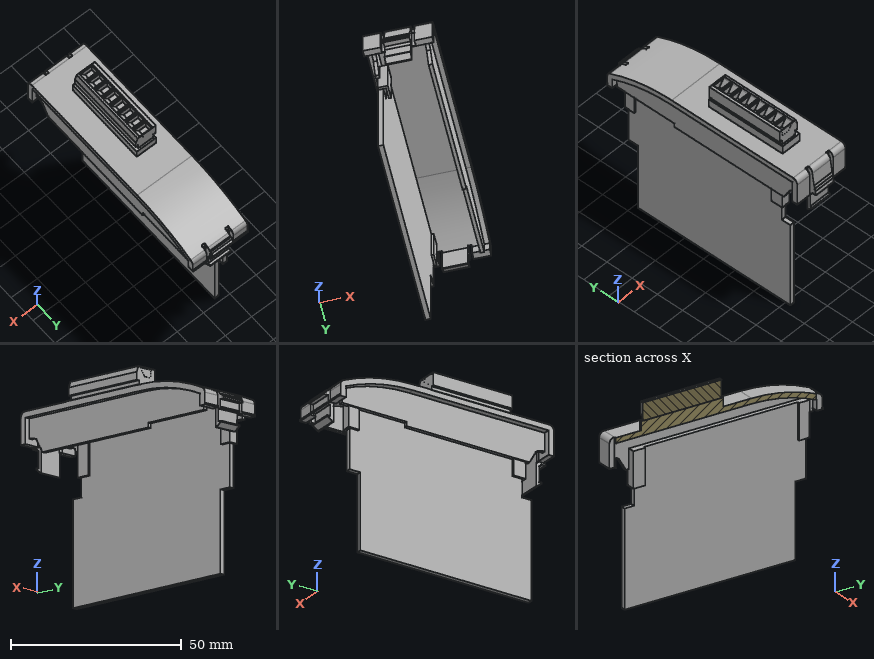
import cadquery as cq
import math


cover_width = 21.0
cover_half_length = 37.7
wall = 1.95
front_wall_bottom = -9.9
rear_wall_bottom = -10.65
corner_radius = 1.7
inner_end = cover_half_length - wall
rear_lip_reach = 0.2
rear_lip_height = 0.5

bend_start = 12.2
bend_radius = 59.15
inner_bend_radius = bend_radius - wall

clip_width = 7.8
slot_width = 1.2
front_slot_depth = 1.7
rear_slot_depth = 2.4

leg_thickness = 1.2
clip_reach = 39.1
leg_outer = inner_end + leg_thickness
front_leg_fillet = 0.7
front_barb_top = -15.8
front_leg_bottom = -17.5
rear_barb_top = -14.4
rear_leg_bottom = -16.0
barb_flat = 0.3

front_grip_start = (-38.4, -6.4)
front_grip_rolls = [
    ((-38.65, -7.0), (-38.6, -7.7)),
    ((-38.9, -8.05), (-38.8, -8.6)),
    ((-39.0, -9.3), (-clip_reach, front_wall_bottom)),
]
rear_grip_top = -6.25
rear_grip_bottom = -7.8
rear_grip_start = (38.0, rear_grip_top)
rear_grip_rolls = [
    ((38.3, -6.5), (38.4, -7.0)),
    ((38.9, -7.05), (clip_reach, -7.4)),
]

panel_thickness = 1.2
left_panel_x = -8.4
right_panel_x = 7.7
panel_bottom = -13.0
panel_rear_bottom = -11.6
panel_step_y = 12.9

cutaway_start = (-30.4, panel_bottom)
cutaway_slope_end = (-32.85, -8.85)
cutaway_arc_middle = (-33.95, -8.2)
cutaway_top = -8.05

board_thickness = 1.65
board_x = left_panel_x + panel_thickness
board_top = -6.25
board_bottom = -57.3
board_rear_y = 32.2
board_rear_notch_y = 28.5
board_rear_notch_z = -31.85
board_front_y = -32.0
board_front_notch_y = -28.6
board_front_notch_z = -24.4
holder_thickness = 3.05
holder_bottom = -18.5
holder_overlap = 0.8
rear_holder_length = 3.7
front_holder_length = 4.3

socket_left_x = -5.1
socket_right_x = 2.3
socket_height = 3.0
socket_length = 29.25
terminal_y = -12.35
plug_length = 27.9
plug_left_x = -5.55
plug_right_x = 2.0
plug_top = 8.85
plug_shoulder = 4.5
plug_neck_left_x = -4.6
plug_neck_right_x = 1.1
plug_chamfer_width = 0.7
plug_chamfer_height = 1.9

pocket_count = 8
pocket_pitch = 3.5
pocket_left_x = -4.15
pocket_floor_right_x = -1.6
pocket_right_x = 0.2
pocket_length = 2.6
pocket_depth = 2.65
pocket_rim = 0.3


def arc_height(y, radius):
    """Height of a bend arc of the given radius; every such arc has the same centre."""
    return math.sqrt(radius**2 - (y - bend_start) ** 2) - bend_radius


def extrude_x(outline, x_start, thickness):
    """Extrude a closed outline drawn in (Y, Z) along +X from x_start."""
    return outline.close().extrude(thickness).translate((x_start, 0, 0))


def block(x_range, y_range, z_range):
    """Box between two limits on each axis."""
    low, high = zip(x_range, y_range, z_range)
    size = [b - a for a, b in zip(low, high)]
    return cq.Workplane("XY").box(*size, centered=False).translate(low)


def bend_middle(y_end, radius):
    """Point halfway in Y along a bend arc."""
    y = (bend_start + y_end) / 2
    return (y, arc_height(y, radius))


def make_cover():
    """Bent top and end walls, with rounded outer corners."""
    lip_end = cover_half_length + rear_lip_reach
    outline = (
        cq.Workplane("YZ")
        .moveTo(-cover_half_length, front_wall_bottom)
        .lineTo(-cover_half_length, 0)
        .lineTo(bend_start, 0)
        .threePointArc(
            bend_middle(cover_half_length, bend_radius),
            (cover_half_length, arc_height(cover_half_length, bend_radius)),
        )
        .lineTo(cover_half_length, rear_wall_bottom + rear_lip_height)
        .lineTo(lip_end, rear_wall_bottom + rear_lip_height)
        .lineTo(lip_end, rear_wall_bottom)
        .lineTo(inner_end, rear_wall_bottom)
        .lineTo(inner_end, arc_height(inner_end, inner_bend_radius))
        .threePointArc(bend_middle(inner_end, inner_bend_radius), (bend_start, -wall))
        .lineTo(-inner_end, -wall)
        .lineTo(-inner_end, front_wall_bottom)
    )
    cover = extrude_x(outline, -cover_width / 2, cover_width)
    front_corner = cq.selectors.NearestToPointSelector((0, -cover_half_length, 0))
    rear_corner = cq.selectors.NearestToPointSelector(
        (0, cover_half_length, arc_height(cover_half_length, bend_radius))
    )
    return cover.edges(front_corner).fillet(corner_radius).edges(rear_corner).fillet(corner_radius)


def make_slot(side, y_range):
    """Cutter for the slot on one side (-1 or +1) of a clip."""
    x_limits = sorted((side * clip_width / 2, side * (clip_width / 2 + slot_width)))
    return block(x_limits, y_range, (rear_wall_bottom, 0))


def make_front_clip():
    """Finger grip with three rolls, and a barbed leg below it, on the front wall."""
    face = -cover_half_length
    outline = (
        cq.Workplane("YZ")
        .moveTo(-inner_end, -corner_radius)
        .lineTo(face, -corner_radius)
        .lineTo(*front_grip_start)
    )
    for middle, end in front_grip_rolls:
        outline = outline.threePointArc(middle, end)
    outline = (
        outline.lineTo(-leg_outer - front_leg_fillet, front_wall_bottom)
        .radiusArc((-leg_outer, front_wall_bottom - front_leg_fillet), -front_leg_fillet)
        .lineTo(-leg_outer, front_barb_top)
        .lineTo(face, front_barb_top)
        .lineTo(face, front_barb_top - barb_flat)
        .lineTo(-inner_end - barb_flat, front_leg_bottom)
        .lineTo(-inner_end, front_leg_bottom)
    )
    return extrude_x(outline, -clip_width / 2, clip_width)


def make_rear_clip():
    """Stepped finger grip and a barbed leg on the rear wall."""
    barb_tip = cover_half_length + rear_lip_reach
    grip = (
        cq.Workplane("YZ")
        .moveTo(inner_end, rear_grip_bottom)
        .lineTo(inner_end, rear_grip_top)
        .lineTo(*rear_grip_start)
    )
    for middle, end in rear_grip_rolls:
        grip = grip.threePointArc(middle, end)
    grip = grip.lineTo(clip_reach, rear_grip_bottom)
    leg = (
        cq.Workplane("YZ")
        .moveTo(inner_end, rear_wall_bottom)
        .lineTo(leg_outer, rear_wall_bottom)
        .lineTo(leg_outer, rear_barb_top)
        .lineTo(barb_tip, rear_barb_top)
        .lineTo(barb_tip, rear_barb_top - barb_flat)
        .lineTo(inner_end + barb_flat, rear_leg_bottom)
        .lineTo(inner_end, rear_leg_bottom)
    )
    grip_solid = extrude_x(grip, -clip_width / 2, clip_width)
    leg_solid = extrude_x(leg, -clip_width / 2, clip_width)
    return grip_solid, leg_solid


def make_panel(x_start):
    """Side panel that fills the cover profile and hangs below it."""
    outline = (
        cq.Workplane("YZ")
        .moveTo(-inner_end, -wall)
        .lineTo(bend_start, -wall)
        .threePointArc(
            bend_middle(inner_end, inner_bend_radius),
            (inner_end, arc_height(inner_end, inner_bend_radius)),
        )
        .lineTo(inner_end, panel_rear_bottom)
        .lineTo(panel_step_y, panel_rear_bottom)
        .lineTo(panel_step_y, panel_bottom)
        .lineTo(*cutaway_start)
        .lineTo(*cutaway_slope_end)
        .threePointArc(cutaway_arc_middle, (-inner_end, cutaway_top))
    )
    return extrude_x(outline, x_start, panel_thickness)


def make_board():
    """Circuit board with a notch at each end."""
    outline = cq.Workplane("YZ").polyline(
        [
            (board_rear_y, board_top),
            (board_rear_y, board_rear_notch_z),
            (board_rear_notch_y, board_rear_notch_z),
            (board_rear_notch_y, board_bottom),
            (board_front_y, board_bottom),
            (board_front_y, board_front_notch_z),
            (board_front_notch_y, board_front_notch_z),
            (board_front_notch_y, board_top),
        ]
    )
    return extrude_x(outline, board_x, board_thickness)


def make_holders():
    """Blocks that wrap the front and rear edges of the board."""
    middle_x = board_x + board_thickness / 2
    x_range = (middle_x - holder_thickness / 2, middle_x + holder_thickness / 2)
    z_range = (holder_bottom, board_top)
    rear_end = board_rear_y + holder_overlap
    front_end = board_front_notch_y - holder_overlap
    rear = block(x_range, (rear_end - rear_holder_length, rear_end), z_range)
    front = block(x_range, (front_end, front_end + front_holder_length), z_range)
    return rear, front


def make_socket():
    """Terminal socket standing on the cover."""
    half_length = socket_length / 2
    return block(
        (socket_left_x, socket_right_x),
        (terminal_y - half_length, terminal_y + half_length),
        (-wall, socket_height),
    )


def make_housing():
    """Cover, clips, panels, board, holders and socket joined into one solid."""
    housing = make_cover()
    front_slot = (-cover_half_length, -cover_half_length + front_slot_depth)
    rear_slot = (cover_half_length - rear_slot_depth, cover_half_length + rear_lip_reach)
    for side in (-1, 1):
        housing = housing.cut(make_slot(side, front_slot))
        housing = housing.cut(make_slot(side, rear_slot))
    housing = housing.union(make_front_clip())
    for piece in make_rear_clip():
        housing = housing.union(piece)
    for x_start in (left_panel_x, right_panel_x):
        housing = housing.union(make_panel(x_start))
    housing = housing.union(make_board())
    for holder in make_holders():
        housing = housing.union(holder)
    return housing.union(make_socket())


def make_pocket(y_middle):
    """Cutter for a wire pocket: flat floor, sloping right side, chamfered rim."""
    rim_bottom = plug_top - pocket_rim
    floor = plug_top - pocket_depth
    well = (
        cq.Workplane("XZ", origin=(0, y_middle + pocket_length / 2, 0))
        .polyline(
            [
                (pocket_left_x, floor),
                (pocket_floor_right_x, floor),
                (pocket_right_x, rim_bottom),
                (pocket_left_x, rim_bottom),
            ]
        )
        .close()
        .extrude(pocket_length)
    )
    rim = (
        cq.Workplane("XY", origin=((pocket_left_x + pocket_right_x) / 2, y_middle, rim_bottom))
        .rect(pocket_right_x - pocket_left_x, pocket_length)
        .workplane(offset=pocket_rim)
        .rect(pocket_right_x - pocket_left_x + 2 * pocket_rim, pocket_length + 2 * pocket_rim)
        .loft(ruled=True)
    )
    return well.union(rim)


def make_plug():
    """Terminal block with a narrower neck standing on the socket."""
    plug = (
        cq.Workplane("XZ", origin=(0, terminal_y, 0))
        .polyline(
            [
                (plug_neck_left_x, socket_height),
                (plug_neck_right_x, socket_height),
                (plug_neck_right_x, plug_shoulder),
                (plug_right_x, plug_shoulder),
                (plug_right_x, plug_top - plug_chamfer_height),
                (plug_right_x - plug_chamfer_width, plug_top),
                (plug_left_x, plug_top),
                (plug_left_x, plug_shoulder),
                (plug_neck_left_x, plug_shoulder),
            ]
        )
        .close()
        .extrude(plug_length / 2, both=True)
    )
    first_y = terminal_y - pocket_pitch * (pocket_count - 1) / 2
    for index in range(pocket_count):
        plug = plug.cut(make_pocket(first_y + index * pocket_pitch))
    return plug


housing = make_housing()
terminal_plug = make_plug()

result = cq.Compound.makeCompound([housing.solids().val(), terminal_plug.solids().val()])